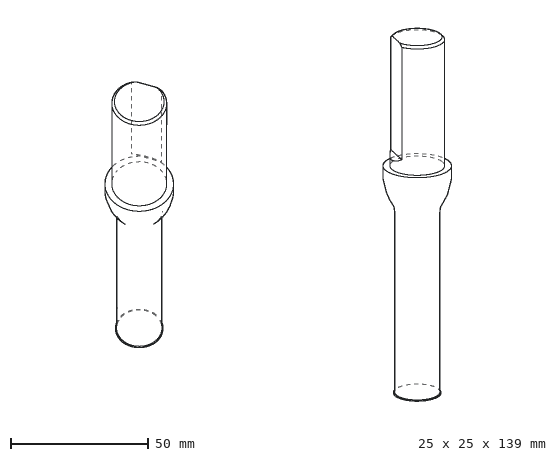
import cadquery as cq

TOTAL_LENGTH = 139.0

SHANK_DIAMETER = 20.0
SHANK_LENGTH = 50.0
SHANK_CHAMFER = 1.0
FLAT_DISTANCE = 8.2
FLAT_FOOT_HEIGHT = 3.6

COLLAR_DIAMETER = 25.0
COLLAR_HEIGHT = 5.0
FLARE_HEIGHT = 13.0
FLARE_START_SLOPE = 0.15
FLARE_SHOULDER_DIAMETER = 20.6
FLARE_SHOULDER_DROP = 7.5
FLARE_NECK_DIAMETER = 17.7
FLARE_NECK_DROP = 10.1

BODY_DIAMETER = 16.5
WAIST_DIAMETER = 16.4
RELIEF_TOP = 65.7
RELIEF_BOTTOM = 42.4
GROOVE_TOP = 12.5
GROOVE_BOTTOM = 9.6

DISC_HEIGHT = 1.04
DISC_FACE_REACH = 9.5
DISC_RIM_REACH = 9.2
DISC_RIM_HANDLE_HEIGHT = 0.8

SHANK_RADIUS = SHANK_DIAMETER / 2
COLLAR_RADIUS = COLLAR_DIAMETER / 2
BODY_RADIUS = BODY_DIAMETER / 2
COLLAR_TOP = TOTAL_LENGTH - SHANK_LENGTH
COLLAR_BOTTOM = COLLAR_TOP - COLLAR_HEIGHT
FLARE_BOTTOM = COLLAR_BOTTOM - FLARE_HEIGHT


def waist_curve(top, bottom):
    """Bezier points of a shallow symmetric waist that starts and ends on the body surface."""
    cubic_reach = 3 / 4
    waist_depth = BODY_RADIUS - WAIST_DIAMETER / 2
    handle_radius = BODY_RADIUS - waist_depth / cubic_reach
    third = (top - bottom) / 3
    return [
        (BODY_RADIUS, top),
        (handle_radius, top - third),
        (handle_radius, bottom + third),
        (BODY_RADIUS, bottom),
    ]


def make_holder_blank():
    """Turned shape of the holder: shank, collar, flare, relieved and grooved body."""
    flare = [
        (FLARE_SHOULDER_DIAMETER / 2, COLLAR_BOTTOM - FLARE_SHOULDER_DROP),
        (FLARE_NECK_DIAMETER / 2, COLLAR_BOTTOM - FLARE_NECK_DROP),
        (BODY_RADIUS, FLARE_BOTTOM),
    ]
    profile = (
        cq.Workplane("XZ")
        .moveTo(0, TOTAL_LENGTH)
        .lineTo(SHANK_RADIUS - SHANK_CHAMFER, TOTAL_LENGTH)
        .lineTo(SHANK_RADIUS, TOTAL_LENGTH - SHANK_CHAMFER)
        .lineTo(SHANK_RADIUS, COLLAR_TOP)
        .lineTo(COLLAR_RADIUS, COLLAR_TOP)
        .lineTo(COLLAR_RADIUS, COLLAR_BOTTOM)
        .spline(flare, tangents=[(-FLARE_START_SLOPE, -1), (0, -1)], includeCurrent=True)
        .lineTo(BODY_RADIUS, RELIEF_TOP)
        .bezier(waist_curve(RELIEF_TOP, RELIEF_BOTTOM))
        .lineTo(BODY_RADIUS, GROOVE_TOP)
        .bezier(waist_curve(GROOVE_TOP, GROOVE_BOTTOM))
        .lineTo(BODY_RADIUS, DISC_HEIGHT)
        .lineTo(0, DISC_HEIGHT)
        .close()
    )
    return profile.revolve(360, (0, 0), (0, 1))


def make_flat_cutter():
    """Cutter for the flat on the +Y side of the shank, with a 45 degree run-out."""
    foot = COLLAR_TOP + FLAT_FOOT_HEIGHT
    depth = SHANK_RADIUS - FLAT_DISTANCE
    return (
        cq.Workplane("YZ")
        .moveTo(SHANK_RADIUS, foot)
        .lineTo(SHANK_RADIUS, TOTAL_LENGTH)
        .lineTo(FLAT_DISTANCE, TOTAL_LENGTH)
        .lineTo(FLAT_DISTANCE, foot + depth)
        .close()
        .extrude(SHANK_RADIUS, both=True)
    )


def make_cutting_disc():
    """Disc under the body: one smooth curve from the tip out to the rim and back in to the body."""
    edge = [
        (0, 0),
        (DISC_FACE_REACH, 0),
        (DISC_RIM_REACH, DISC_RIM_HANDLE_HEIGHT),
        (BODY_RADIUS, DISC_HEIGHT),
    ]
    profile = cq.Workplane("XZ").bezier(edge).lineTo(0, DISC_HEIGHT).close()
    return profile.revolve(360, (0, 0), (0, 1))


holder = make_holder_blank().cut(make_flat_cutter())
cutting_disc = make_cutting_disc()

result = cq.Compound.makeCompound([holder.val(), cutting_disc.val()])